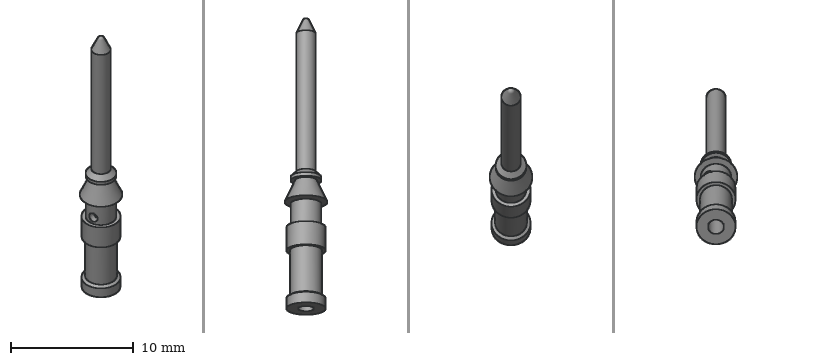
import cadquery as cq
import math

total_length = 25.0

end_flange_dia = 3.2
collar_dia = end_flange_dia
barrel_dia = 2.62
upper_body_dia = 2.52
neck_dia = 1.8
barb_dia = 3.5
ring_dia = upper_body_dia
pin_dia = 1.6
nose_dia = 0.55
bore_dia = 1.3
sight_hole_dia = 0.8

end_flange_top = 0.9
flange_cone_top = 1.08
collar_bottom = 5.0
collar_top = 7.0
sight_hole_height = 7.62
upper_body_top = 9.02
barb_bottom = 9.18
ring_bottom = 11.02
ring_top = 11.32
ring_cone_top = 11.78
taper_bottom = 23.7
nose_height = 0.18
taper_top = total_length - nose_height

bore_depth = sight_hole_height + sight_hole_dia / 2


def turned_body():
    """Revolve the half profile of the contact about Z, from entry end to tip."""
    nose_radius = nose_dia / 2
    sphere_radius = (nose_radius**2 + nose_height**2) / (2 * nose_height)
    arc_mid_radius = nose_radius / 2
    arc_mid_height = total_length - sphere_radius + math.sqrt(sphere_radius**2 - arc_mid_radius**2)

    profile = (
        cq.Workplane("XZ")
        .lineTo(end_flange_dia / 2, 0)
        .lineTo(end_flange_dia / 2, end_flange_top)
        .lineTo(barrel_dia / 2, flange_cone_top)
        .lineTo(barrel_dia / 2, collar_bottom)
        .lineTo(collar_dia / 2, collar_bottom)
        .lineTo(collar_dia / 2, collar_top)
        .lineTo(upper_body_dia / 2, collar_top)
        .lineTo(upper_body_dia / 2, upper_body_top)
        .lineTo(neck_dia / 2, upper_body_top)
        .lineTo(neck_dia / 2, barb_bottom)
        .lineTo(barb_dia / 2, barb_bottom)
        .lineTo(neck_dia / 2, ring_bottom)
        .lineTo(ring_dia / 2, ring_bottom)
        .lineTo(ring_dia / 2, ring_top)
        .lineTo(pin_dia / 2, ring_cone_top)
        .lineTo(pin_dia / 2, taper_bottom)
        .lineTo(nose_dia / 2, taper_top)
        .threePointArc((arc_mid_radius, arc_mid_height), (0, total_length))
        .close()
    )
    return profile.revolve(360, (0, 0, 0), (0, 1, 0))


def wire_bore():
    """Blind bore from the wire entry end."""
    return cq.Workplane("XY").circle(bore_dia / 2).extrude(bore_depth)


def sight_hole():
    """Radial hole from the -Y side into the bore."""
    return (
        cq.Workplane("XZ")
        .center(0, sight_hole_height)
        .circle(sight_hole_dia / 2)
        .extrude(upper_body_dia)
    )


result = turned_body().cut(wire_bore()).cut(sight_hole())